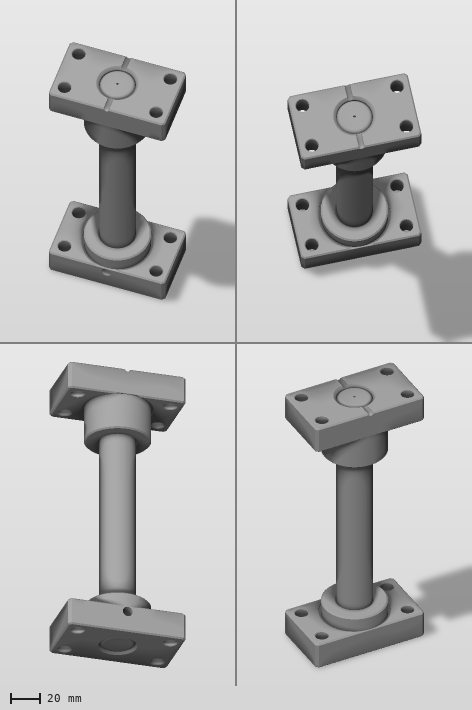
import cadquery as cq
total_height = 200.7
plate_length = 84.0
plate_width = 48.0
plate_thickness = 19.9
corner_chamfer = 2.0
edge_chamfer = 1.0

boss_diameter = 46.2
boss_end_chamfer = 1.0
upper_boss_height = 25.0
lower_boss_height = 10.2
recess_width = 1.6
recess_depth = 0.8

post_diameter = 25.0
post_end_gap = 1.0
post_end_fillet = 3.0
bore_lead_in = 1.0
upper_bore_countersink = 2.0
center_hole_diameter = 1.8
center_hole_depth = 2.0

mount_hole_diameter = 9.0
mount_hole_chamfer = 0.5
mount_spacing_x = 66.2
mount_spacing_y = 30.1

vent_groove_radius = 2.0
side_port_diameter = 7.0
side_port_height = 15.0


def make_plate():
    """Chamfered plate with its outer face on Z = 0."""
    return (
        cq.Workplane("XY")
        .box(plate_length, plate_width, plate_thickness, centered=(True, True, False))
        .edges("|Z")
        .chamfer(corner_chamfer)
        .faces("<Z or >Z")
        .edges()
        .chamfer(edge_chamfer)
        .cut(mount_holes())
    )


def make_boss(height):
    """Boss with a chamfered free end, starting at the floor of the ring recess."""
    return (
        cq.Workplane("XY", origin=(0, 0, plate_thickness - recess_depth))
        .circle(boss_diameter / 2)
        .extrude(recess_depth + height)
        .faces(">Z")
        .edges()
        .chamfer(boss_end_chamfer)
    )


def recess():
    """Round cutter that leaves the ring recess once the boss stands in it."""
    return (
        cq.Workplane("XY", origin=(0, 0, plate_thickness - recess_depth))
        .circle(boss_diameter / 2 + recess_width)
        .extrude(2 * recess_depth)
    )


def mount_holes():
    """Four through-hole cutters, widened by a chamfer at both faces of the plate."""
    radius = mount_hole_diameter / 2
    mouth_radius = radius + mount_hole_chamfer
    cutter = (
        cq.Workplane("XZ")
        .lineTo(mouth_radius, 0)
        .lineTo(radius, mount_hole_chamfer)
        .lineTo(radius, plate_thickness - mount_hole_chamfer)
        .lineTo(mouth_radius, plate_thickness)
        .lineTo(0, plate_thickness)
        .close()
        .revolve(360, (0, 0, 0), (0, 1, 0))
        .val()
    )
    return (
        cq.Workplane("XY")
        .rarray(mount_spacing_x, mount_spacing_y, 2, 2)
        .eachpoint(lambda place: cutter.moved(place), combine=False)
    )


def post_bore(length, plate_chamfer):
    """Bore cutter with a chamfer at the plate's outer face and a lead-in at the boss end."""
    radius = post_diameter / 2
    return (
        cq.Workplane("XZ")
        .lineTo(radius + plate_chamfer, 0)
        .lineTo(radius, plate_chamfer)
        .lineTo(radius, length - bore_lead_in)
        .lineTo(radius + bore_lead_in, length)
        .lineTo(0, length)
        .close()
        .revolve(360, (0, 0, 0), (0, 1, 0))
    )


def make_flange(boss_height, plate_chamfer):
    """Bored plate and boss as one solid, with the outer face on Z = 0."""
    return (
        make_plate()
        .cut(recess())
        .union(make_boss(boss_height))
        .cut(post_bore(plate_thickness + boss_height, plate_chamfer))
    )


def make_upper_flange():
    """Flange turned upside down, with a round-bottomed vent groove across its top."""
    flange = (
        make_flange(upper_boss_height, upper_bore_countersink)
        .rotate((0, 0, 0), (1, 0, 0), 180)
        .translate((0, 0, total_height))
    )
    vent_groove = (
        cq.Workplane("XZ", origin=(0, 0, total_height))
        .circle(vent_groove_radius)
        .extrude(plate_width, both=True)
        .rotate((0, 0, total_height), (0, 1, total_height), 45)
    )
    return flange.cut(vent_groove)


def make_lower_flange():
    """Flange with a port that runs from its front side into the bore."""
    side_port = (
        cq.Workplane("XZ", origin=(0, 0, side_port_height))
        .circle(side_port_diameter / 2)
        .extrude(plate_width / 2)
    )
    return make_flange(lower_boss_height, bore_lead_in).cut(side_port)


def make_post():
    """Post with rounded ends and a small center hole in its top."""
    return (
        cq.Workplane("XY", origin=(0, 0, post_end_gap))
        .circle(post_diameter / 2)
        .extrude(total_height - 2 * post_end_gap)
        .faces("<Z or >Z")
        .edges()
        .fillet(post_end_fillet)
        .faces(">Z")
        .workplane()
        .hole(center_hole_diameter, center_hole_depth)
    )


upper_flange = make_upper_flange()
lower_flange = make_lower_flange()
post = make_post()

result = cq.Compound.makeCompound([*upper_flange.vals(), *lower_flange.vals(), *post.vals()])